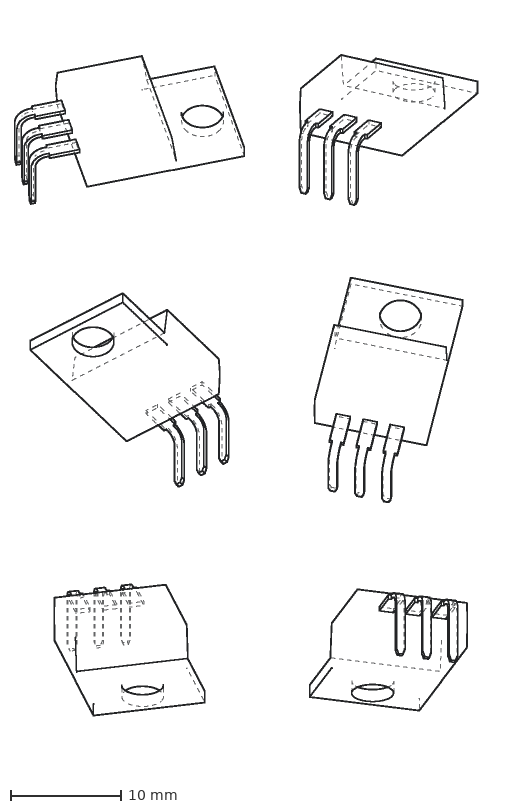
import cadquery as cq

WIDTH = 10.4
TOTAL_LENGTH = 19.35

TAB_THICKNESS = 1.22
TAB_EDGE_ROUND = 0.05
HOLE_DIAMETER = 3.8
HOLE_SETBACK = 2.53

BODY_HEIGHT = 4.47
BODY_REAR = 6.39
BODY_FRONT = 14.9
REAR_TOP_TAPER = 0.43
FRONT_TAPER = 0.15
BODY_EDGE_ROUND = 0.05

LEAD_PITCH = 2.5
LEAD_COUNT = 3
LEAD_THICKNESS = 0.4
LEAD_TOP = 2.92
LEAD_TIP_Z = -3.52
LEAD_WIDTH = 0.81
SHOULDER_WIDTH = 1.32
SHOULDER_END = 17.69
BEND_OUTER_RADIUS = 1.4
TIP_HEIGHT = 0.52
TIP_WIDTH = 0.45
LEAD_EMBED = 0.39

LEAD_BOTTOM = LEAD_TOP - LEAD_THICKNESS


def make_tab():
    """Flat plate with rounded top edges and a through hole, running a little way into the body."""
    length = BODY_REAR + REAR_TOP_TAPER
    tab = (
        cq.Workplane("XY")
        .box(WIDTH, length, TAB_THICKNESS, centered=(True, True, False))
        .translate((0, -length / 2, 0))
    )
    tab = tab.faces(">Z").workplane(origin=(0, -HOLE_SETBACK, 0)).hole(HOLE_DIAMETER)
    return tab.faces(">Z").edges().fillet(TAB_EDGE_ROUND)


def make_body():
    """Block with a sloped rear face and a front face tapering away from the lead band."""
    profile = [
        (-BODY_REAR, 0),
        (-BODY_REAR, TAB_THICKNESS),
        (-BODY_REAR - REAR_TOP_TAPER, BODY_HEIGHT),
        (-BODY_FRONT + FRONT_TAPER, BODY_HEIGHT),
        (-BODY_FRONT, LEAD_TOP),
        (-BODY_FRONT, LEAD_BOTTOM),
        (-BODY_FRONT + FRONT_TAPER, 0),
    ]
    body = cq.Workplane("YZ").polyline(profile).close().extrude(WIDTH / 2, both=True)
    rear_top_y = -BODY_REAR - REAR_TOP_TAPER
    round_zone = cq.selectors.BoxSelector(
        (-WIDTH, -TOTAL_LENGTH, -BODY_HEIGHT),
        (WIDTH, rear_top_y + BODY_EDGE_ROUND, 2 * BODY_HEIGHT),
    )
    return body.faces("|X or |Z").edges(round_zone).fillet(BODY_EDGE_ROUND)


def make_lead():
    """One lead on X = 0: wide shoulder, quarter bend and a downward leg with a tapered tip."""
    bend_y = -TOTAL_LENGTH + BEND_OUTER_RADIUS
    bend_z = LEAD_TOP - BEND_OUTER_RADIUS
    inner_radius = BEND_OUTER_RADIUS - LEAD_THICKNESS
    root_y = -BODY_FRONT + LEAD_EMBED
    strip = (
        cq.Workplane("YZ")
        .moveTo(root_y, LEAD_TOP)
        .lineTo(bend_y, LEAD_TOP)
        .radiusArc((-TOTAL_LENGTH, bend_z), -BEND_OUTER_RADIUS)
        .lineTo(-TOTAL_LENGTH, LEAD_TIP_Z)
        .lineTo(-TOTAL_LENGTH + LEAD_THICKNESS, LEAD_TIP_Z)
        .lineTo(-TOTAL_LENGTH + LEAD_THICKNESS, bend_z)
        .radiusArc((bend_y, LEAD_BOTTOM), inner_radius)
        .lineTo(root_y, LEAD_BOTTOM)
        .close()
        .extrude(LEAD_WIDTH / 2, both=True)
    )
    half_width = LEAD_WIDTH / 2
    half_tip = TIP_WIDTH / 2
    taper_z = LEAD_TIP_Z + TIP_HEIGHT
    front_outline = (
        cq.Workplane("XZ")
        .polyline([
            (-half_width, LEAD_TOP),
            (half_width, LEAD_TOP),
            (half_width, taper_z),
            (half_tip, LEAD_TIP_Z),
            (-half_tip, LEAD_TIP_Z),
            (-half_width, taper_z),
        ])
        .close()
        .extrude(TOTAL_LENGTH)
    )
    shoulder_length = SHOULDER_END + root_y
    shoulder = (
        cq.Workplane("XY")
        .box(SHOULDER_WIDTH, shoulder_length, LEAD_THICKNESS, centered=(True, True, False))
        .translate((0, root_y - shoulder_length / 2, LEAD_BOTTOM))
    )
    return strip.intersect(front_outline).union(shoulder)


result = make_tab().union(make_body())
lead = make_lead()
for index in range(LEAD_COUNT):
    lead_x = (index - (LEAD_COUNT - 1) / 2) * LEAD_PITCH
    result = result.union(lead.translate((lead_x, 0, 0)))